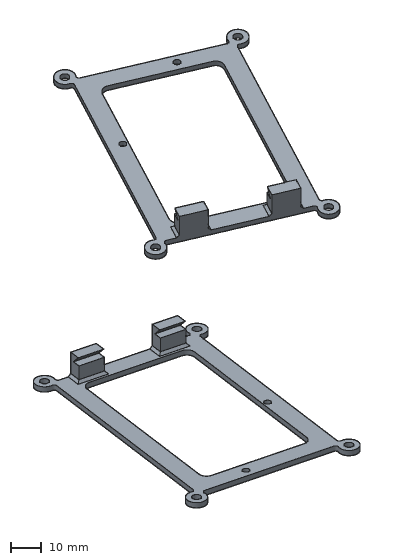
import cadquery as cq
import math

plate_thickness = 2.0
frame_length = 84.5
frame_width = 56.1
window_length = 71.1
window_width = 42.0
window_corner_radius = 3.0

overall_length = 95.8
overall_width = 66.8
ear_diameter = 7.3
ear_radius = ear_diameter / 2
ear_hole_diameter = 3.2
ear_x = overall_length / 2 - ear_radius
ear_y = overall_width / 2 - ear_radius
neck_radius = 1.0

pilot_hole_diameter = 2.5
pilot_hole_positions = [(-39.1, 7.0), (-7.1, -22.9)]

overall_height = 11.0
hook_width = 10.0
hook_depth = 4.8
hook_shelf_height = 8.1
hook_tip_depth = 4.4
hook_throat_depth = 1.6
hook_spacing = 31.8
hook_foot = 1.0
hook_back_x = frame_length / 2


def neck_edge(x, y):
    """Pick the vertical edge where an ear meets the frame outline."""
    reach = 0.05
    return cq.selectors.BoxSelector(
        (x - reach, y - reach, -plate_thickness),
        (x + reach, y + reach, 2 * plate_thickness),
    )


def make_plate():
    plate = cq.Workplane("XY").rect(frame_length, frame_width).extrude(plate_thickness)
    ears = (
        cq.Workplane("XY")
        .rect(2 * ear_x, 2 * ear_y, forConstruction=True)
        .vertices()
        .circle(ear_radius)
        .extrude(plate_thickness)
    )
    plate = plate.union(ears)

    end_offset = ear_x - frame_length / 2
    side_offset = ear_y - frame_width / 2
    end_neck_y = ear_y - math.sqrt(ear_radius**2 - end_offset**2)
    side_neck_x = ear_x - math.sqrt(ear_radius**2 - side_offset**2)
    for sx in (-1, 1):
        for sy in (-1, 1):
            end_edge = neck_edge(sx * frame_length / 2, sy * end_neck_y)
            plate = plate.edges(end_edge).fillet(neck_radius)
            side_edge = neck_edge(sx * side_neck_x, sy * frame_width / 2)
            plate = plate.edges(side_edge).fillet(neck_radius)
    return plate


def make_window():
    return (
        cq.Workplane("XY")
        .rect(window_length, window_width)
        .extrude(plate_thickness)
        .edges("|Z")
        .fillet(window_corner_radius)
    )


def make_holes():
    ear_holes = (
        cq.Workplane("XY")
        .rect(2 * ear_x, 2 * ear_y, forConstruction=True)
        .vertices()
        .circle(ear_hole_diameter / 2)
        .extrude(plate_thickness)
    )
    pilot_holes = (
        cq.Workplane("XY")
        .pushPoints(pilot_hole_positions)
        .circle(pilot_hole_diameter / 2)
        .extrude(plate_thickness)
    )
    return ear_holes.union(pilot_holes)


def make_hook(center_y):
    throat_x = hook_back_x - hook_throat_depth
    front_x = hook_back_x - hook_depth
    throat_top = overall_height - (hook_tip_depth - hook_throat_depth)
    body = (
        cq.Workplane("XZ", origin=(0, center_y, 0))
        .polyline([
            (hook_back_x, plate_thickness),
            (hook_back_x, overall_height),
            (hook_back_x - hook_tip_depth, overall_height),
            (throat_x, throat_top),
            (throat_x, hook_shelf_height),
            (front_x, hook_shelf_height),
            (front_x, plate_thickness),
        ])
        .close()
        .extrude(hook_width / 2, both=True)
    )
    foot_length = hook_depth + hook_foot
    foot_width = hook_width + 2 * hook_foot
    frustum = (
        cq.Workplane("XY", origin=(hook_back_x, center_y, plate_thickness))
        .rect(2 * foot_length, foot_width)
        .extrude(hook_foot, taper=45)
    )
    behind_back = (
        cq.Workplane("XY", origin=(hook_back_x, center_y, plate_thickness))
        .box(foot_length, foot_width, hook_foot, centered=(False, True, False))
    )
    foot = frustum.cut(behind_back)
    return body.union(foot)


result = make_plate().cut(make_window()).cut(make_holes())
for side in (-1, 1):
    result = result.union(make_hook(side * hook_spacing / 2))